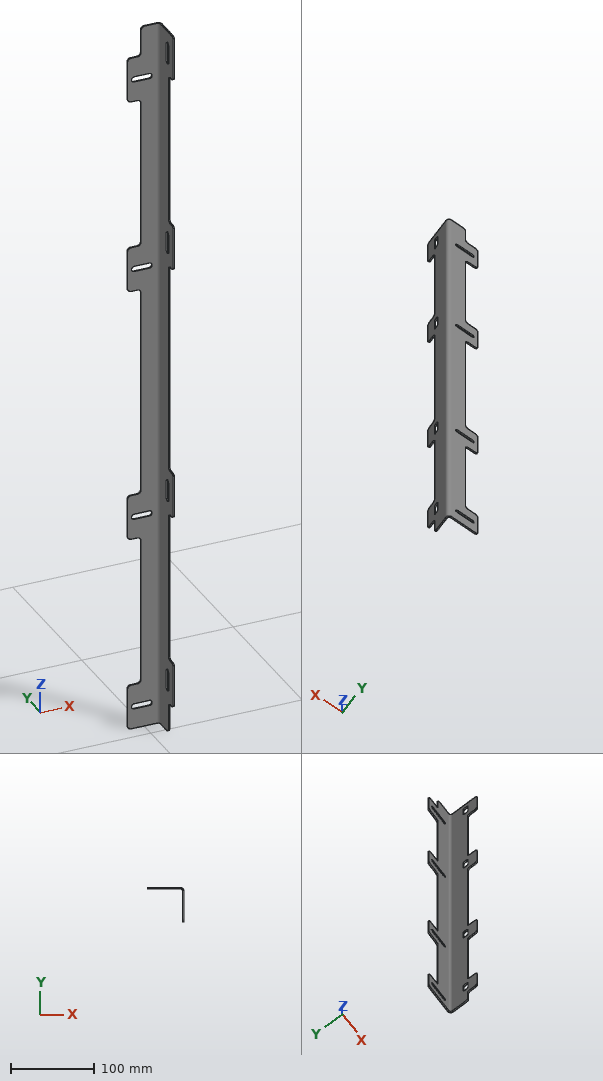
import cadquery as cq

LENGTH = 960.0
WIDTH_X = 44.0
WIDTH_Y = 42.0
THICKNESS = 1.9
INNER_BEND_RADIUS = 3.1
OUTER_BEND_RADIUS = INNER_BEND_RADIUS + THICKNESS

TAB_HEIGHT = 60.0
TAB_DEPTH_X = 18.0
TAB_DEPTH_Y = 14.0
TAB_PITCH = 260.0
PAIR_PITCH = 600.0
CORNER_RADIUS = 5.0

SLOT_LENGTH_X = 27.0
SLOT_LENGTH_Z = 29.0
SLOT_WIDTH = 7.0
ALONG_X = 0
ALONG_Z = 90
SLOT_INSET_X = 19.0
SLOT_INSET_Y = 17.0

TAB_OFFSETS = [0, TAB_PITCH, PAIR_PITCH, PAIR_PITCH + TAB_PITCH]
TABS_ON_X_LEG = [TAB_HEIGHT / 2 + offset for offset in TAB_OFFSETS]
TABS_ON_Y_LEG = [LENGTH - TAB_HEIGHT / 2 - offset for offset in reversed(TAB_OFFSETS)]


def angle_strip():
    """L section at full width with a rounded bend."""
    section = [
        (-WIDTH_X, 0),
        (0, 0),
        (0, -WIDTH_Y),
        (-THICKNESS, -WIDTH_Y),
        (-THICKNESS, -THICKNESS),
        (-WIDTH_X, -THICKNESS),
    ]
    strip = cq.Workplane("XY").polyline(section).close().extrude(LENGTH)
    outer_edge = cq.selectors.NearestToPointSelector((0, 0, LENGTH / 2))
    inner_edge = cq.selectors.NearestToPointSelector((-THICKNESS, -THICKNESS, LENGTH / 2))
    strip = strip.edges(outer_edge).fillet(OUTER_BEND_RADIUS)
    return strip.edges(inner_edge).fillet(INNER_BEND_RADIUS)


def tabbed_blank(plane, width, tab_depth, tab_centres):
    """Prism with the outline of one leg, running through the whole part.

    It overhangs the bend, so that only the corners of the free edge get rounded on the part.
    """
    half_depth = WIDTH_X + WIDTH_Y
    overhang = 2 * CORNER_RADIUS

    def slab(reach, z_centre, height):
        size = reach + overhang
        middle = (overhang - reach) / 2
        return cq.Workplane(plane).center(middle, z_centre).rect(size, height).extrude(half_depth, both=True)

    blank = slab(width - tab_depth, LENGTH / 2, LENGTH)
    for z in tab_centres:
        blank = blank.union(slab(width, z, TAB_HEIGHT))
    across_sheet = "|Y" if plane == "XZ" else "|X"
    return blank.clean().edges(across_sheet).fillet(CORNER_RADIUS)


def slots(plane, position, tab_centres, length, angle):
    """Slot cutters through one leg, one at each tab; they stay clear of the other leg."""
    centres = [(position, z) for z in tab_centres]
    layout = cq.Workplane(plane).pushPoints(centres).slot2D(length, SLOT_WIDTH, angle)
    return layout.extrude(2 * THICKNESS, both=True)


x_leg_blank = tabbed_blank("XZ", WIDTH_X, TAB_DEPTH_X, TABS_ON_X_LEG)
y_leg_blank = tabbed_blank("YZ", WIDTH_Y, TAB_DEPTH_Y, TABS_ON_Y_LEG)
x_leg_slots = slots("XZ", SLOT_INSET_X - WIDTH_X, TABS_ON_X_LEG, SLOT_LENGTH_X, ALONG_X)
y_leg_slots = slots("YZ", SLOT_INSET_Y - WIDTH_Y, TABS_ON_Y_LEG, SLOT_LENGTH_Z, ALONG_Z)

strip = angle_strip()
trimmed_strip = strip.intersect(x_leg_blank).intersect(y_leg_blank)
result = trimmed_strip.cut(x_leg_slots).cut(y_leg_slots)